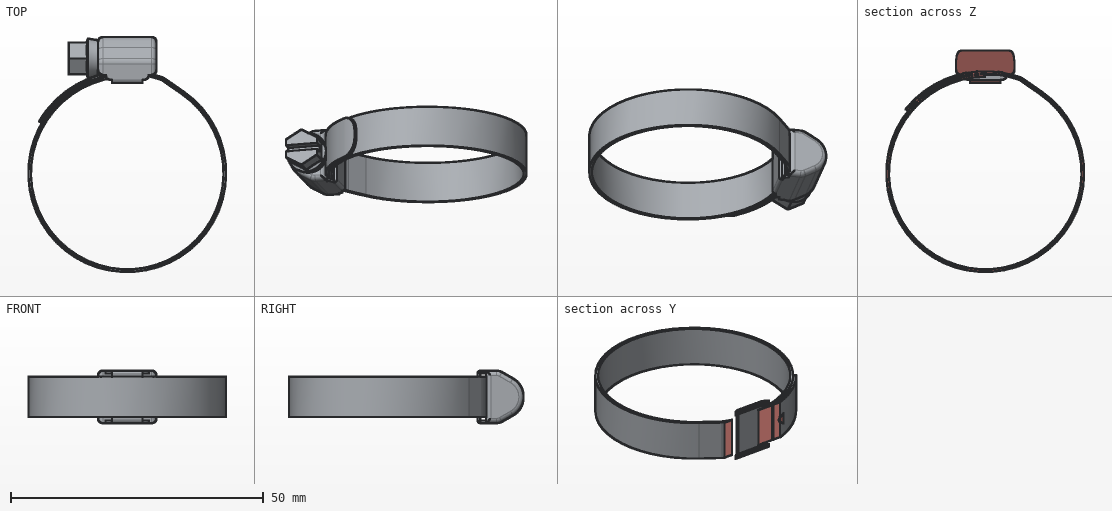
import cadquery as cq
import math


overall_length = 46.45
ring_radius = 19.55
band_thickness = 0.55
band_width = 8.0
layer_gap = 0.05
bend_radius = 2.3
slope_angle = 34.7
tail_end_angle = 149.6
inner_end_angle = 90.0
tail_corner_radius = 3.05

housing_length = 11.55
housing_width = 10.4
housing_base = 19.4
housing_end_fillet = 0.98
shoulder_radius = 2.15
crown_angle = 60.0
tab_length = 8.55
tab_thickness = 0.55
tab_corner_radius = 0.98
tab_root = 0.55
bridge_length = 6.1
bridge_top = 18.35
bridge_bottom = 17.75
bridge_bend_radius = 0.65

screw_axis = 22.65
crown_radius = overall_length - ring_radius - screw_axis
collar_front_radius = 3.95
collar_back_radius = 3.62
collar_length = 1.95
cone_radius = 3.15
cone_height = 0.33
hex_sides = 6
hex_across_flats = 6.3
hex_length = 3.55
slot_width = 1.25
slot_depth = 2.05

tail_radius = ring_radius + layer_gap + band_thickness
tab_bottom = bridge_bottom + bridge_bend_radius


def polar(radius, degrees, center=(0, 0)):
    angle = math.radians(degrees)
    return (center[0] + radius * math.cos(angle), center[1] + radius * math.sin(angle))


def arc_to(path, radius, start, end, center=(0, 0)):
    middle = (start + end) / 2
    return path.threePointArc(polar(radius, middle, center), polar(radius, end, center))


def make_band():
    """One strip: the tail over the ring, a bend, a straight run, and the ring back under the tail."""
    tail_inner = tail_radius - band_thickness
    ring_inner = ring_radius - band_thickness
    bend_outer = bend_radius + band_thickness

    slope_normal = 90 - slope_angle
    bend_distance = tail_inner - bend_radius
    bend_turn = math.degrees(math.acos((ring_inner - bend_radius) / bend_distance))
    bend_start = slope_normal + bend_turn
    bend_center = polar(bend_distance, bend_start)
    ring_end = inner_end_angle - 360

    path = cq.Workplane("XY").moveTo(*polar(tail_radius, tail_end_angle))
    path = arc_to(path, tail_radius, tail_end_angle, bend_start)
    path = arc_to(path, bend_outer, bend_start, slope_normal, bend_center)
    path = path.lineTo(*polar(ring_radius, slope_normal))
    path = arc_to(path, ring_radius, slope_normal, ring_end)
    path = path.lineTo(*polar(ring_inner, ring_end))
    path = arc_to(path, ring_inner, ring_end, slope_normal)
    path = path.lineTo(*polar(bend_radius, slope_normal, bend_center))
    path = arc_to(path, bend_radius, slope_normal, bend_start, bend_center)
    path = arc_to(path, tail_inner, bend_start, tail_end_angle)
    strip = path.close().extrude(band_width / 2, both=True)

    tip = polar(tail_radius - band_thickness / 2, tail_end_angle)
    reach = band_thickness / 2
    tip_box = cq.selectors.BoxSelector(
        (tip[0] - reach, tip[1] - reach, -band_width),
        (tip[0] + reach, tip[1] + reach, band_width),
    )
    return strip.edges("not |Z").edges(tip_box).fillet(tail_corner_radius)


def make_screw():
    front_rim = -housing_length / 2 - collar_length
    back = -housing_length / 2
    collar = (
        cq.Workplane("XZ")
        .moveTo(back, 0)
        .lineTo(back, collar_back_radius)
        .lineTo(front_rim, collar_front_radius)
        .lineTo(front_rim - cone_height, cone_radius)
        .lineTo(front_rim - cone_height, 0)
        .close()
        .revolve(360, (0, 0, 0), (1, 0, 0))
        .translate((0, screw_axis, 0))
    )
    hex_end = front_rim - cone_height - hex_length
    head = (
        cq.Workplane("YZ", origin=(hex_end, screw_axis, 0))
        .polygon(hex_sides, hex_across_flats, circumscribed=True)
        .extrude(front_rim - hex_end)
    )
    slot = cq.Workplane("XY").box(
        slot_depth, 2 * hex_across_flats, slot_width, centered=(False, True, True)
    ).translate((hex_end, screw_axis, 0))
    return collar.union(head).cut(slot)


def make_housing():
    half_width = housing_width / 2
    crown = math.radians(crown_angle)
    crown_y = screw_axis + crown_radius * math.cos(crown)
    crown_z = crown_radius * math.sin(crown)
    shoulder_y = crown_y - (half_width - crown_z) * math.tan(crown)
    body = (
        cq.Workplane("YZ")
        .moveTo(housing_base, -half_width)
        .lineTo(shoulder_y, -half_width)
        .lineTo(crown_y, -crown_z)
        .threePointArc((screw_axis + crown_radius, 0), (crown_y, crown_z))
        .lineTo(shoulder_y, half_width)
        .lineTo(housing_base, half_width)
        .close()
        .extrude(housing_length / 2, both=True)
    )
    shoulder_box = cq.selectors.BoxSelector(
        (-half_width, housing_base + tab_thickness, -housing_width),
        (half_width, screw_axis, housing_width),
    )
    body = body.edges("|X").edges(shoulder_box).fillet(shoulder_radius)
    body = body.faces("<X or >X").edges().fillet(housing_end_fillet)

    tab_height = housing_base - tab_bottom + tab_root
    for side in (-1, 1):
        tab = (
            cq.Workplane("XY")
            .box(tab_length, tab_height, tab_thickness, centered=(True, False, True))
            .edges("|Z and <Y")
            .fillet(tab_corner_radius)
            .translate((0, tab_bottom, side * (half_width - tab_thickness / 2)))
        )
        body = body.union(tab)

    bridge = (
        cq.Workplane("XY")
        .box(bridge_length, housing_base - bridge_bottom, housing_width, centered=(True, False, True))
        .edges("|X and <Y")
        .fillet(bridge_bend_radius)
        .translate((0, bridge_bottom, 0))
    )
    opening = cq.Workplane("XY").box(
        bridge_length, housing_base - bridge_top, housing_width - 2 * tab_thickness,
        centered=(True, False, True),
    ).translate((0, bridge_top, 0))
    body = body.union(bridge.cut(opening))

    channel = cq.Workplane("XY").circle(tail_radius).extrude(band_width / 2, both=True)
    underside = cq.Workplane("XY").box(
        housing_length, crown_radius, band_width, centered=(True, False, True)
    ).translate((0, housing_base, 0))
    return body.cut(channel.intersect(underside))


screw = make_screw()
housing = make_housing()
band = make_band().cut(screw)

result = cq.Compound.makeCompound([band.solids().val(), housing.val(), screw.val()])